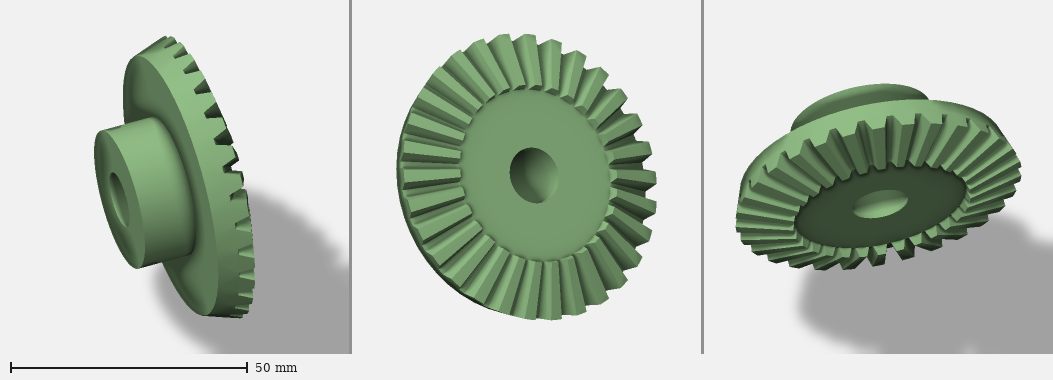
import cadquery as cq

tooth_count = 30
height = 22.5

hub_length = 11.55
hub_radius = 15.1
bore_radius = 6.0

tip_radius = 30.85
tip_inner_radius = 19.1
tip_rise = 3.65
back_radius = 28.4
floor_depth = 1.9

gap_tip_width = 3.8
gap_root_width = 1.5

cutter_overrun = 0.6
cutter_headroom = 1.85

tip_y = height - tip_rise
floor_y = height - floor_depth

back_slope = (tip_radius - back_radius) / (tip_y - hub_length)
floor_radius = tip_inner_radius - floor_depth * back_slope

apex_y = tip_y + tip_radius * tip_rise / (tip_radius - tip_inner_radius)
gap_bottom_slope = (apex_y - floor_y) / floor_radius
gap_bottom_y = apex_y - tip_radius * gap_bottom_slope
gap_widening = (gap_tip_width - gap_root_width) / (tip_y - gap_bottom_y)


def make_blank():
    """Turned body: hub, bore, conical back, tooth tip cone and flat inner floor."""
    outline = [
        (bore_radius, 0),
        (hub_radius, 0),
        (hub_radius, hub_length),
        (back_radius, hub_length),
        (tip_radius, tip_y),
        (tip_inner_radius, height),
        (floor_radius, floor_y),
        (bore_radius, floor_y),
    ]
    return cq.Workplane("XY").polyline(outline).close().revolve(360, (0, 0, 0), (0, 1, 0))


def gap_section(radius):
    """Trapezoid across one tooth gap, scaled about the apex to the given radius."""
    scale = radius / tip_radius
    half_top = scale * (gap_tip_width + cutter_headroom * gap_widening) / 2
    half_root = scale * gap_root_width / 2
    top_y = apex_y + scale * (tip_y + cutter_headroom - apex_y)
    root_y = apex_y + scale * (gap_bottom_y - apex_y)
    corners = [
        (root_y, -half_root),
        (top_y, -half_top),
        (top_y, half_top),
        (root_y, half_root),
    ]
    return cq.Workplane("YZ", origin=(radius, 0, 0)).polyline(corners).close().val()


def make_gap_cutters():
    """Tapered wedges for all tooth gaps, the first one centred on +X."""
    inner_section = gap_section(floor_radius - cutter_overrun)
    outer_section = gap_section(tip_radius + cutter_overrun)
    wedge = cq.Solid.makeLoft([inner_section, outer_section], True)
    axis_start = cq.Vector(0, 0, 0)
    axis_end = cq.Vector(0, 1, 0)
    step_angle = 360 / tooth_count
    wedges = [wedge.rotate(axis_start, axis_end, index * step_angle) for index in range(tooth_count)]
    return cq.Workplane(obj=cq.Compound.makeCompound(wedges))


result = make_blank().cut(make_gap_cutters()).solids()